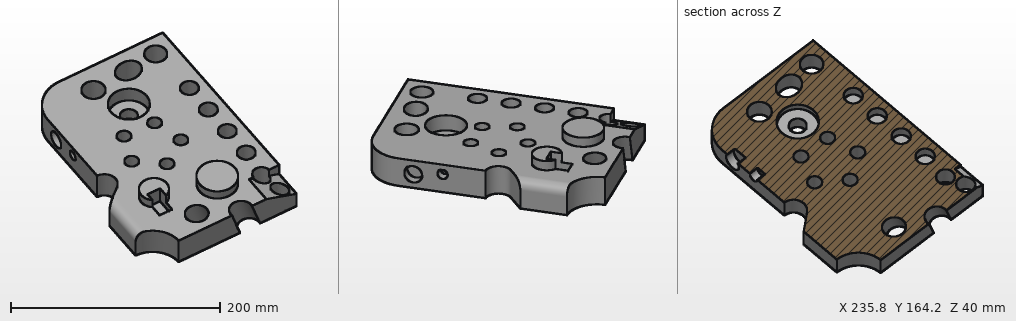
import cadquery as cq
import math

LENGTH = 235.81
WIDTH = 164.18
THICKNESS = 30.0
BOSS_HEIGHT = 10.0
CORNER_RADIUS = 35.9

LIP_DEPTH = 10.4
LIP_LEFT = 160.2
LIP_RIGHT = 206.6
LIP_FILLET = 10.0

FRONT_SCOOP_X = 135.4
FRONT_SCOOP_RADIUS = 12.8
CORNER_SCOOP_RADIUS = 30.0

THROUGH_HOLES = [
    (22.0, (19.8, 143.4)),
    (23.2, (27.0, 68.0)),
    (17.59, (205.7, 143.6)),
    (18.31, (225.4, 151.8)),
]
RING_HOLE_DIAMETER = 14.0
RING_HOLES = [(126.8, 102.9), (94.5, 93.9), (145.7, 75.0), (93.2, 60.0), (124.6, 48.4)]

OVAL_CENTER = (23.8, 109.8)
OVAL_LONG = 28.2
OVAL_SHORT = 22.8
OVAL_LEAN = 12.0

COUNTERBORE_CENTER = (60.7, 86.5)
COUNTERBORE_DIAMETER = 40.05
COUNTERBORE_DEPTH = 16.5
COUNTERBORE_HOLE_DIAMETER = 17.19

BLIND_DIAMETER = 18.0
BLIND_DEPTH = 20.0
BLIND_COUNT = 4
BLIND_PITCH = 33.35
BLIND_FIRST_X = 74.5
BLIND_Y = 146.4

LEANING_DIAMETER = 22.0
LEANING_ANGLE = 17.2
LEANING_HOLES = [(215.5, 63.6), (233.9, 102.0)]

FRONT_HOLES = [(17.73, 50.5, 15.0), (9.96, 79.7, 19.4)]
FRONT_HOLE_DEPTH = 10.0

LARGE_BOSS_DIAMETER = 39.94
LARGE_BOSS_CENTER = (193.0, 101.6)
SMALL_BOSS_DIAMETER = 28.8
SMALL_BOSS_CENTER = (174.4, 41.6)
POCKET_LEFT = 176.8
POCKET_FRONT = 32.7
POCKET_LENGTH = 21.3
POCKET_WIDTH = 14.2
POCKET_FLOOR = 22.0

RECESS_LEFT = 205.2
RECESS_FRONT = 129.7
RECESS_BACK_DEPTH = 12.7


def scoop_tangent_point():
    """Point where the straight wall from the lip's left end touches the front scoop."""
    dx = LIP_LEFT - FRONT_SCOOP_X
    dy = -LIP_DEPTH
    direction = math.atan2(dy, dx) + math.acos(FRONT_SCOOP_RADIUS / math.hypot(dx, dy))
    return (
        FRONT_SCOOP_X + FRONT_SCOOP_RADIUS * math.cos(direction),
        LIP_DEPTH + FRONT_SCOOP_RADIUS * math.sin(direction),
    )


def make_plate():
    front = LIP_DEPTH
    corner_mid = CORNER_RADIUS * (1 - math.sqrt(0.5))
    scoop_top = (FRONT_SCOOP_X, front + FRONT_SCOOP_RADIUS)
    scoop_center_x = LIP_RIGHT + CORNER_SCOOP_RADIUS
    scoop_end_y = math.sqrt(CORNER_SCOOP_RADIUS**2 - (scoop_center_x - LENGTH) ** 2)
    scoop_mid = (
        scoop_center_x - CORNER_SCOOP_RADIUS * math.sqrt(0.5),
        CORNER_SCOOP_RADIUS * math.sqrt(0.5),
    )
    plate = (
        cq.Workplane("XY")
        .moveTo(0, WIDTH)
        .lineTo(0, front + CORNER_RADIUS)
        .threePointArc((corner_mid, front + corner_mid), (CORNER_RADIUS, front))
        .lineTo(FRONT_SCOOP_X - FRONT_SCOOP_RADIUS, front)
        .threePointArc(scoop_top, scoop_tangent_point())
        .lineTo(LIP_LEFT, 0)
        .lineTo(LIP_RIGHT, 0)
        .threePointArc(scoop_mid, (LENGTH, scoop_end_y))
        .lineTo(LENGTH, WIDTH)
        .close()
        .extrude(THICKNESS)
    )
    return plate.cut(make_lip_rounding())


def make_lip_rounding():
    """Material removed along X to round the top edge of the lip."""
    mid = LIP_FILLET * (1 - math.sqrt(0.5))
    return (
        cq.Workplane("YZ")
        .moveTo(0, THICKNESS - LIP_FILLET)
        .threePointArc((mid, THICKNESS - mid), (LIP_FILLET, THICKNESS))
        .lineTo(0, THICKNESS)
        .close()
        .extrude(LIP_RIGHT + CORNER_SCOOP_RADIUS - FRONT_SCOOP_X)
        .translate((FRONT_SCOOP_X, 0, 0))
    )


def make_recess():
    """Wedge whose floor slopes down toward the back edge."""
    return (
        cq.Workplane("YZ")
        .moveTo(RECESS_FRONT, THICKNESS)
        .lineTo(WIDTH, THICKNESS)
        .lineTo(WIDTH, THICKNESS - RECESS_BACK_DEPTH)
        .close()
        .extrude(LENGTH - RECESS_LEFT)
        .translate((RECESS_LEFT, 0, 0))
    )


def make_bore(diameter, center, depth=THICKNESS):
    """Vertical cylinder reaching down from the top face."""
    return (
        cq.Workplane("XY", origin=(*center, THICKNESS - depth))
        .circle(diameter / 2)
        .extrude(depth)
    )


def make_oval_hole():
    return (
        cq.Workplane("XY", origin=(*OVAL_CENTER, 0))
        .ellipse(OVAL_SHORT / 2, OVAL_LONG / 2, rotation_angle=OVAL_LEAN)
        .extrude(THICKNESS)
    )


def make_leaning_hole(center):
    """Cylinder whose axis meets the top face at the given point, tilted about X."""
    reach = 2 * THICKNESS
    return (
        cq.Workplane("XY")
        .circle(LEANING_DIAMETER / 2)
        .extrude(reach, both=True)
        .rotate((0, 0, 0), (1, 0, 0), LEANING_ANGLE)
        .translate((*center, THICKNESS))
    )


def make_front_hole(diameter, x, z):
    return (
        cq.Workplane("XZ", origin=(x, LIP_DEPTH, z))
        .circle(diameter / 2)
        .extrude(-FRONT_HOLE_DEPTH)
    )


def make_boss(diameter, center):
    return cq.Workplane("XY", origin=(*center, THICKNESS)).circle(diameter / 2).extrude(BOSS_HEIGHT)


def make_pocket():
    height = THICKNESS + BOSS_HEIGHT - POCKET_FLOOR
    return (
        cq.Workplane("XY")
        .box(POCKET_LENGTH, POCKET_WIDTH, height, centered=False)
        .translate((POCKET_LEFT, POCKET_FRONT, POCKET_FLOOR))
    )


result = make_plate().cut(make_recess())

for hole_diameter, hole_center in THROUGH_HOLES:
    result = result.cut(make_bore(hole_diameter, hole_center))
for hole_center in RING_HOLES:
    result = result.cut(make_bore(RING_HOLE_DIAMETER, hole_center))
result = result.cut(make_oval_hole())

result = result.cut(make_bore(COUNTERBORE_HOLE_DIAMETER, COUNTERBORE_CENTER))
result = result.cut(make_bore(COUNTERBORE_DIAMETER, COUNTERBORE_CENTER, COUNTERBORE_DEPTH))

for index in range(BLIND_COUNT):
    hole_center = (BLIND_FIRST_X + index * BLIND_PITCH, BLIND_Y)
    result = result.cut(make_bore(BLIND_DIAMETER, hole_center, BLIND_DEPTH))

for hole_center in LEANING_HOLES:
    result = result.cut(make_leaning_hole(hole_center))

for hole_diameter, hole_x, hole_z in FRONT_HOLES:
    result = result.cut(make_front_hole(hole_diameter, hole_x, hole_z))

result = result.union(make_boss(LARGE_BOSS_DIAMETER, LARGE_BOSS_CENTER))
result = result.union(make_boss(SMALL_BOSS_DIAMETER, SMALL_BOSS_CENTER))
result = result.cut(make_pocket())